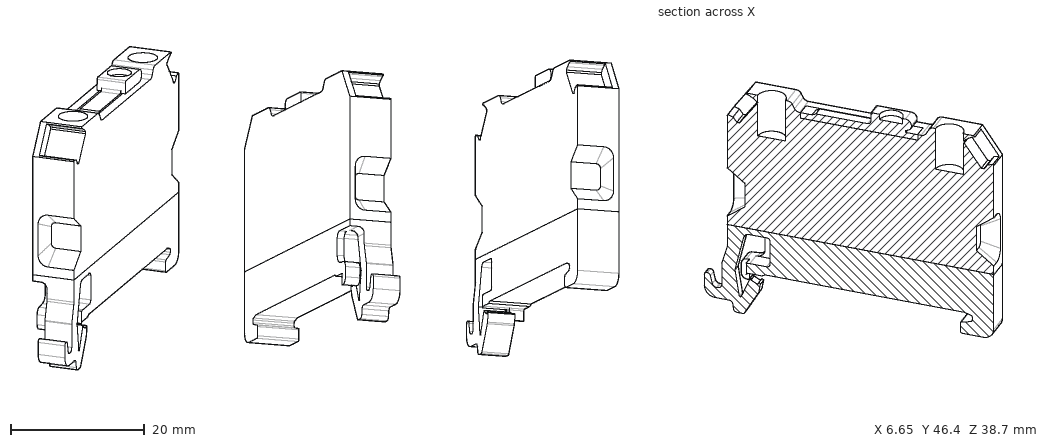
import cadquery as cq
import math


WIDTH = 6.65
LENGTH = 42.75
SPLIT_Z = 7.45
TOP_Z = 30.7
DECK_Z = 29.05
MID_Y = LENGTH / 2

CHAMFER_Y = 3.2
CHAMFER_Z = 4.5
SHOULDER_TOP_Y = 10.2
SHOULDER_FOOT_Y = 11.1
SHOULDER_R = 0.95

NOTCH_SKIN = 1.0

SCREW_D = 4.4
SCREW_X = 3.65
SCREW_END_DIST = 7.15
SCREW_DEPTH = 6.95

POCKET_X = 0.9
POCKET_BOTTOM_Z = 8.95
POCKET_TOP_Z = 17.18
POCKET_DEPTH = 2.8
POCKET_SIDE_DRAFT = 1.0
POCKET_END_DRAFT = 2.1
POCKET_MOUTH_R = 1.6
POCKET_FLOOR_R = 0.7

SLOT_BACK_Y = 5.1
SLOT_TOP_Z = 6.4
CLIP_X = 2.3
CLIP_ROOT_R = 1.0
CLIP_BOTTOM_Z = -7.35
CLIP_TIP_Y = -3.65
CLIP_REAR_Y = 5.55
RECESS_X = 1.1
RECESS_MOUTH_Y = 3.25
RECESS_BACK_Y = 6.85
RECESS_FLOOR_Z = 1.55
RECESS_R = 0.5
NOSE_ROOT_Y = 3.05
NOSE_BOTTOM_Z = -2.05

BASE_X = 1.45
BASE_RIGHT_X = 5.1
BASE_FRONT_Y = 11.8
BASE_BACK_Y = 30.55
BASE_DEPTH = 0.95
STRIP_X = 2.05
STRIP_FRONT_Y = 13.65
STRIP_BACK_Y = 28.65
STRIP_HEIGHT = 0.3
STRIP_RAMP_Y = 0.6
HEAD_X = 1.3
HEAD_RIGHT_X = 5.85
HEAD_FRONT_Y = 23.0
HEAD_BACK_Y = 29.55
HEAD_TOP_Z = 31.35
HEAD_EDGE_R = 0.3
HEAD_BACK_R = 0.97
HEAD_ROOT_R = 0.4
PIT_D = 3.6
PIT_X = 3.57
PIT_Y = 26.27
PIT_DEPTH = 0.95


def rounded_outline(plane, corners):
    """Closed wire through (u, v, radius) corners; radius 0 keeps a corner sharp."""
    count = len(corners)
    stretches = []
    for i in range(count):
        u, v, radius = corners[i]
        if radius == 0:
            stretches.append([(u, v)])
            continue
        before = corners[i - 1]
        after = corners[(i + 1) % count]
        angle_in = math.atan2(before[1] - v, before[0] - u)
        angle_out = math.atan2(after[1] - v, after[0] - u)
        turn = math.remainder(angle_out - angle_in, 2 * math.pi)
        half = abs(turn) / 2
        bisector = angle_in + turn / 2
        tangent = radius / math.tan(half)
        middle = radius / math.sin(half) - radius
        stretches.append([
            (u + tangent * math.cos(angle_in), v + tangent * math.sin(angle_in)),
            (u + middle * math.cos(bisector), v + middle * math.sin(bisector)),
            (u + tangent * math.cos(angle_out), v + tangent * math.sin(angle_out)),
        ])
    wire = plane.moveTo(*stretches[0][-1])
    for stretch in stretches[1:] + stretches[:1]:
        wire = wire.lineTo(*stretch[0])
        if len(stretch) == 3:
            wire = wire.threePointArc(stretch[1], stretch[2])
    return wire.close()


def side_prism(corners, x_start, x_end):
    """Prism along X with its outline given as (y, z, radius) corners."""
    plane = cq.Workplane("YZ").workplane(offset=x_start)
    return rounded_outline(plane, corners).extrude(x_end - x_start)


def block(x0, x1, y0, y1, z0, z1):
    return cq.Workplane("XY").box(x1 - x0, y1 - y0, z1 - z0, centered=False).translate((x0, y0, z0))


def at_back(front_shape):
    """Mirror image of a front feature at the back end."""
    return front_shape.mirror("XZ", (0, MID_Y, 0))


def wire_notch():
    """Notch behind the front chamfer, with an overhang above and a lip below."""
    profile = [
        (-0.45, 26.8, 0),
        (0.15, 26.35, 0),
        (0.97, 26.15, 0),
        (1.6, 25.35, 0),
        (2.0, 25.35, 0),
        (4.75, 29.1, 0),
        (4.75, 29.45, 0),
        (4.25, 29.85, 0),
        (3.5, 30.3, 0),
        (3.0, 30.45, 0),
        (2.3, 30.7, 0),
    ]
    return side_prism(profile, NOTCH_SKIN, WIDTH)


def end_pocket():
    """Pocket in the front face, narrowing to its floor and open at the far side."""
    mouth = [
        (WIDTH, POCKET_BOTTOM_Z, 0),
        (WIDTH, POCKET_TOP_Z, 0),
        (POCKET_X, POCKET_TOP_Z, POCKET_MOUTH_R),
        (POCKET_X, POCKET_BOTTOM_Z, POCKET_MOUTH_R),
    ]
    floor_x = POCKET_X + POCKET_SIDE_DRAFT
    floor_bottom = POCKET_BOTTOM_Z + POCKET_END_DRAFT
    floor_top = POCKET_TOP_Z - POCKET_END_DRAFT
    floor = [
        (WIDTH, floor_bottom, 0),
        (WIDTH, floor_top, 0),
        (floor_x, floor_top, POCKET_FLOOR_R),
        (floor_x, floor_bottom, POCKET_FLOOR_R),
    ]
    mouth_wire = rounded_outline(cq.Workplane("XZ"), mouth)
    floor_plane = cq.Workplane("XZ", origin=(0, POCKET_DEPTH, 0))
    floor_wire = rounded_outline(floor_plane, floor)
    return cq.Workplane(cq.Solid.makeLoft([mouth_wire.val(), floor_wire.val()], True))


def screw_hole():
    return (
        cq.Workplane("XY")
        .workplane(offset=TOP_Z - SCREW_DEPTH)
        .center(SCREW_X, SCREW_END_DIST)
        .circle(SCREW_D / 2)
        .extrude(SCREW_DEPTH)
    )


def make_housing(slider_base):
    front_half = [
        (0, SPLIT_Z, 0),
        (0, TOP_Z - CHAMFER_Z, 0),
        (CHAMFER_Y, TOP_Z, 0),
        (SHOULDER_TOP_Y, TOP_Z, SHOULDER_R),
        (SHOULDER_FOOT_Y, DECK_Z, SHOULDER_R),
    ]
    back_half = [(LENGTH - y, z, radius) for y, z, radius in reversed(front_half)]
    housing = side_prism(front_half + back_half, 0, WIDTH)
    for feature in (wire_notch(), end_pocket(), screw_hole()):
        housing = housing.cut(feature).cut(at_back(feature))
    return housing.cut(slider_base)


def rail_body():
    """Full-width part: fixed rail hook at the back, curled nose at the front."""
    profile = [
        (0, SPLIT_Z, 0),
        (LENGTH, SPLIT_Z, 0),
        (LENGTH, -3.65, 1.7),
        (37.35, -3.65, 0.32),
        (37.35, -1.7, 0.3),
        (39.25, -1.25, 0.32),
        (39.25, -0.35, 0.3),
        (38.0, 0, 0),
        (6.15, 0, 0),
        (5.55, -0.3, 0),
        (NOSE_ROOT_Y, -0.3, 0.25),
        (NOSE_ROOT_Y, NOSE_BOTTOM_Z, 0),
        (1.75, NOSE_BOTTOM_Z, 0.97),
        (1.75, 1.35, 0.95),
        (SLOT_BACK_Y, 1.65, 1.3),
        (SLOT_BACK_Y, SLOT_TOP_Z, 0.97),
        (0, SLOT_TOP_Z, 0),
    ]
    return side_prism(profile, 0, WIDTH)


def clip_blank():
    """Spring clip with latch point and release lever, before it is set back."""
    profile = [
        (0, SPLIT_Z, 0),
        (0, 3.7, 1.4),
        (-0.9, 0.7, 0.35),
        (-0.9, -3.6, 0.65),
        (-2.25, -3.6, 0.7),
        (-2.75, -1.4, 0.5),
        (CLIP_TIP_Y, -1.4, 0.4),
        (CLIP_TIP_Y, -5.5, 1.75),
        (0.8, -5.5, 0.55),
        (1.05, CLIP_BOTTOM_Z, 0.65),
        (2.7, CLIP_BOTTOM_Z, 0.35),
        (5.1, -3.15, 0.7),
        (5.4, -1.62, 0),
        (5.1, -1.45, 0),
        (4.87, -1.75, 0),
        (3.85, -1.25, 0),
        (3.65, -0.97, 0),
        (2.2, -4.45, 0.1),
        (2.0, -4.45, 0.1),
        (1.3, 0, 0),
        (2.85, SLOT_TOP_Z, 0.85),
        (SLOT_BACK_Y, SLOT_TOP_Z, 0),
        (SLOT_BACK_Y, SPLIT_Z, 0),
    ]
    return side_prism(profile, 0, WIDTH)


def clip_setback():
    """Space beside the clip, rounded where the clip runs into the foot."""
    profile = [
        (0, CLIP_BOTTOM_Z, 0),
        (CLIP_X, CLIP_BOTTOM_Z, 0),
        (CLIP_X, SLOT_TOP_Z, CLIP_ROOT_R),
        (0, SLOT_TOP_Z, 0),
    ]
    plane = cq.Workplane("XZ", origin=(0, CLIP_REAR_Y, 0))
    return rounded_outline(plane, profile).extrude(CLIP_REAR_Y - CLIP_TIP_Y)


def slot_recess():
    """Round-cornered recess that deepens the slot behind a wall left at X = 0."""
    profile = [
        (RECESS_MOUTH_Y, RECESS_FLOOR_Z, 0),
        (RECESS_BACK_Y, RECESS_FLOOR_Z, RECESS_R),
        (RECESS_BACK_Y, SLOT_TOP_Z, RECESS_R),
        (RECESS_MOUTH_Y, SLOT_TOP_Z, 0),
    ]
    return side_prism(profile, RECESS_X, WIDTH)


def make_foot():
    nose_relief = block(CLIP_X, WIDTH, 0, NOSE_ROOT_Y, NOSE_BOTTOM_Z, SLOT_TOP_Z)
    clip = clip_blank().cut(clip_setback())
    return rail_body().cut(slot_recess()).cut(nose_relief).union(clip)


def make_slider_base():
    """Part of the slider that is sunk flush into the deck."""
    return block(BASE_X, BASE_RIGHT_X, BASE_FRONT_Y, BASE_BACK_Y, DECK_Z - BASE_DEPTH, DECK_Z)


def make_slider(slider_base):
    strip_z = DECK_Z + STRIP_HEIGHT
    strip_profile = [
        (STRIP_FRONT_Y, DECK_Z, 0),
        (STRIP_FRONT_Y + STRIP_RAMP_Y, strip_z, 0),
        (STRIP_BACK_Y, strip_z, 0),
        (STRIP_BACK_Y, DECK_Z, 0),
    ]
    strip = side_prism(strip_profile, STRIP_X, BASE_RIGHT_X)

    head_profile = [
        (HEAD_FRONT_Y, strip_z, 0),
        (HEAD_FRONT_Y, HEAD_TOP_Z, HEAD_EDGE_R),
        (HEAD_BACK_Y, HEAD_TOP_Z, HEAD_BACK_R),
        (HEAD_BACK_Y, strip_z, HEAD_BACK_R),
    ]
    head = side_prism(head_profile, HEAD_X, HEAD_RIGHT_X)
    pit_floor = cq.Workplane("XY", origin=(PIT_X, PIT_Y, HEAD_TOP_Z - PIT_DEPTH))
    pit = pit_floor.circle(PIT_D / 2).extrude(PIT_DEPTH)
    root = (
        cq.Workplane("YZ", origin=(STRIP_X, HEAD_FRONT_Y, strip_z))
        .lineTo(0, HEAD_ROOT_R)
        .radiusArc((-HEAD_ROOT_R, 0), HEAD_ROOT_R)
        .close()
        .extrude(BASE_RIGHT_X - STRIP_X)
    )
    return slider_base.union(strip).union(head.cut(pit)).union(root)


slider_base = make_slider_base()
housing = make_housing(slider_base)
foot = make_foot()
slider = make_slider(slider_base)

result = cq.Compound.makeCompound([
    housing.solids().val(),
    foot.solids().val(),
    slider.solids().val(),
])